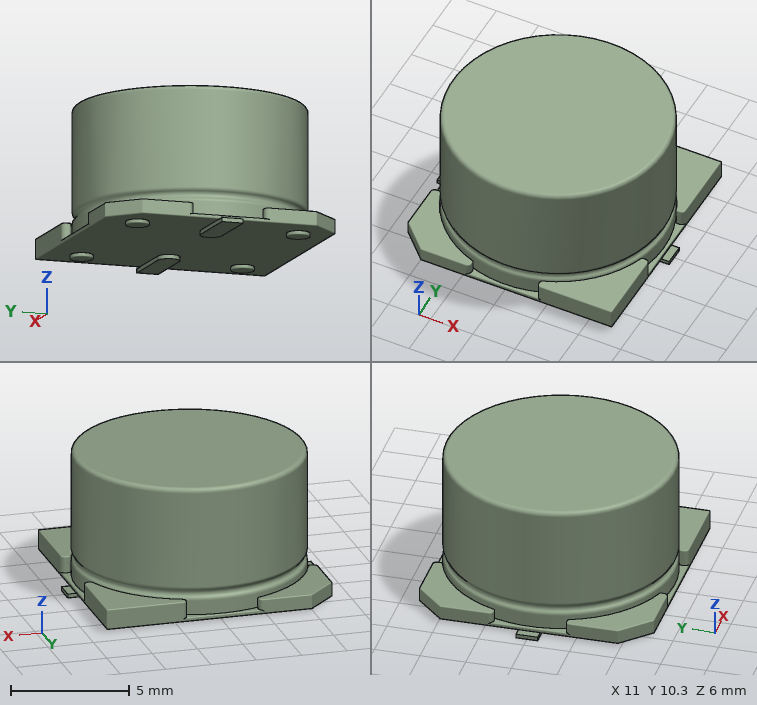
import cadquery as cq
import math

total_height = 6.0
lead_span = 11.0
base_width = 10.3
can_diameter = 10.0

standoff = 0.18
lead_width = 0.95
lead_inner_end = 2.28
foot_diameter = 1.0
foot_offset = 3.6
foot_edge_radius = 0.04

floor_top = 0.35
low_block_top = 0.82
high_block_top = 1.07
corner_chamfer = 1.25
edge_radius = 0.05
slot_half_width = 1.59
slot_mouth_radius = 0.2
slot_inner_radius = 0.1
pocket_clearance = 0.03

rim_radius = 0.2
groove_bottom = 0.97
groove_height = 0.6
groove_depth = 0.14

half_width = base_width / 2
can_radius = can_diameter / 2
pocket_radius = can_radius + pocket_clearance


def base_outline(bottom, top):
    """Square prism with both -X corners cut off and all upright edges rounded."""
    prism = cq.Workplane("XY").workplane(offset=bottom).rect(base_width, base_width).extrude(top - bottom)
    prism = prism.edges("|Z and <X").chamfer(corner_chamfer)
    return prism.edges("|Z").fillet(edge_radius)


def corner_block(x_side, y_side, top):
    """One raised corner of the base, between two slots and outside the can pocket."""
    span = half_width - slot_half_width
    middle = slot_half_width + span / 2
    region = cq.Workplane("XY").center(middle, middle).rect(span, span).extrude(top)
    region = region.cut(cq.Workplane("XY").circle(pocket_radius).extrude(top))
    pocket_reach = math.sqrt(pocket_radius**2 - slot_half_width**2)

    def upright_edges(near, far):
        """The two upright edges at (near, far) and (far, near)."""
        box = cq.selectors.BoxSelector
        reach = edge_radius / 2
        beside_x_slot = box((far - reach, near - reach, 0), (far + reach, near + reach, top))
        beside_y_slot = box((near - reach, far - reach, 0), (near + reach, far + reach, top))
        return region.edges("|Z").edges(beside_x_slot + beside_y_slot)

    region = upright_edges(slot_half_width, half_width).fillet(slot_mouth_radius)
    region = upright_edges(slot_half_width, pocket_reach).fillet(slot_inner_radius)
    if x_side < 0:
        region = region.mirror("YZ")
    if y_side < 0:
        region = region.mirror("XZ")
    block = base_outline(standoff + edge_radius, top).intersect(region)
    return block.faces(">Z").edges().fillet(edge_radius)


def base():
    """Floor plate with four raised corners, lower on the chamfered -X side."""
    plate = base_outline(standoff, floor_top)
    body = plate.faces(">Z or <Z").edges().fillet(edge_radius)
    for x_side, top in ((-1, low_block_top), (1, high_block_top)):
        for y_side in (-1, 1):
            body = body.union(corner_block(x_side, y_side, top))
    return body


def can():
    """Turned can with a rounded rim and a rolled groove near its foot."""
    bottom = (standoff + floor_top) / 2
    quarter = groove_height / 4
    waist = can_radius - groove_depth
    mid_radius = can_radius - groove_depth / 2
    rim_mid = rim_radius * (1 - math.sqrt(0.5))
    profile = (
        cq.Workplane("XZ")
        .moveTo(0, bottom)
        .lineTo(can_radius, bottom)
        .lineTo(can_radius, groove_bottom)
        .tangentArcPoint((mid_radius, groove_bottom + quarter), relative=False)
        .threePointArc(
            (waist, groove_bottom + 2 * quarter),
            (mid_radius, groove_bottom + 3 * quarter),
        )
        .tangentArcPoint((can_radius, groove_bottom + groove_height), relative=False)
        .lineTo(can_radius, total_height - rim_radius)
        .threePointArc(
            (can_radius - rim_mid, total_height - rim_mid),
            (can_radius - rim_radius, total_height),
        )
        .lineTo(0, total_height)
        .close()
    )
    return profile.revolve(360, (0, 0, 0), (0, 1, 0))


def lead(x_side):
    """Flat lead with a round inner end, running out past the base."""
    radius = lead_width / 2
    round_center = lead_inner_end + radius
    outer_end = lead_span / 2
    strip = (
        cq.Workplane("XY")
        .moveTo(round_center, -radius)
        .lineTo(outer_end, -radius)
        .lineTo(outer_end, radius)
        .lineTo(round_center, radius)
        .threePointArc((lead_inner_end, 0), (round_center, -radius))
        .close()
        .extrude(standoff)
    )
    return strip if x_side > 0 else strip.mirror("YZ")


def feet():
    """Four round support feet with rounded rims."""
    spacing = 2 * foot_offset
    discs = cq.Workplane("XY").rarray(spacing, spacing, 2, 2).circle(foot_diameter / 2).extrude(standoff)
    return discs.edges().fillet(foot_edge_radius)


result = base().union(can()).union(feet())
for side in (-1, 1):
    result = result.union(lead(side))